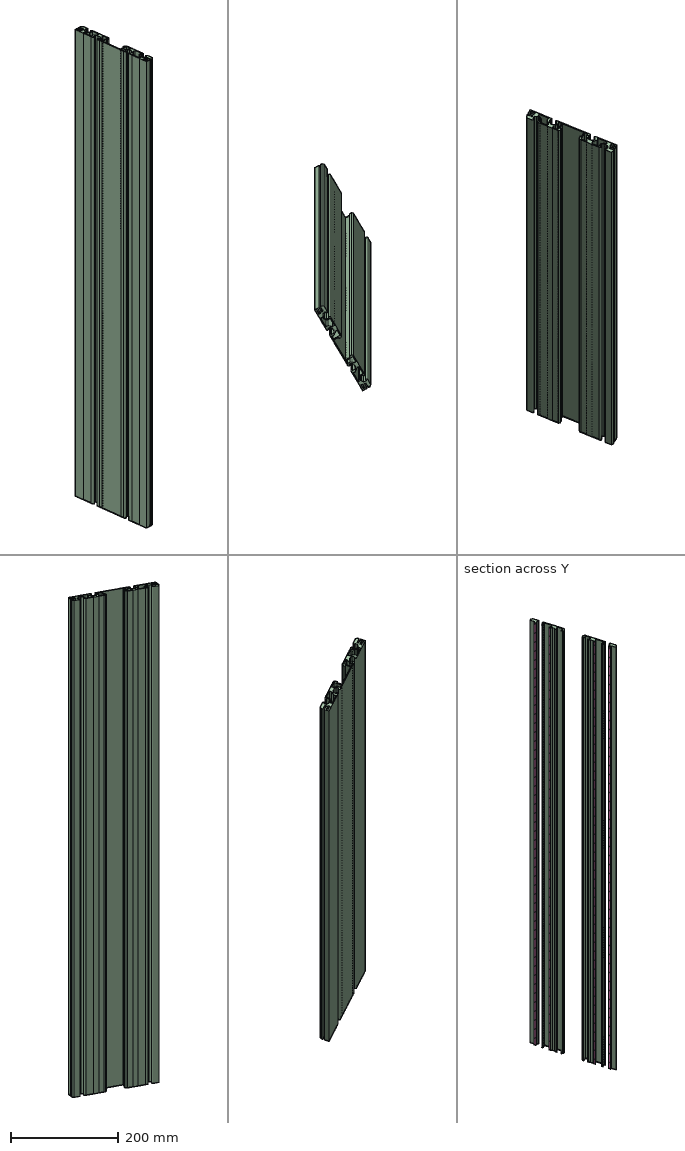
import cadquery as cq

WIDTH = 180.0
THICKNESS = 19.0
LENGTH = 1000.0

SKIN = 2.0
WEB = 2.0
SIDE_WALL = 3.0
RIM_WALL = 2.0
SLOT_WALL = 2.0

RECESS_HALF = 22.0
RIM_OVERHANG = 2.5
RIM_BOTTOM = 12.0
RIM_CHAMFER = 2.5

BEVEL_WIDTH = 2.5
BEVEL_HEIGHT = 3.5
GROOVE_Y = 11.0
GROOVE_HEIGHT = 3.0
GROOVE_DEPTH = 9.5

TOP_SLOT_X = 70.0
BOTTOM_SLOT_X = 40.0
MOUTH_HALF = 4.0
MOUTH_RADIUS = 2.0
UNDERCUT_HALF = 6.5
ROOF_HALF = 2.5
LIP = 3.5
UNDERCUT_DEPTH = 9.0
SLOT_DEPTH = 11.0

OUTER_TOP_X = 46.0
OUTER_BOTTOM_X = 51.5
OUTER_SLOPE_TOP = 13.0
OUTER_SLOPE_BOTTOM = 6.5
FOOT_OUTER_X = 70.5

INNER_TOP_X = 35.0
INNER_BOTTOM_X = 30.0
INNER_SLOPE_TOP = 14.5
INNER_SLOPE_BOTTOM = 7.0

CELL_INNER_X = 79.0
CELL_BOTTOM = 3.0
CELL_TOP = 6.5

HALF_WIDTH = WIDTH / 2
CEILING = THICKNESS - SKIN
TOP_SLOT_FLOOR = THICKNESS - SLOT_DEPTH
FOOT_TOP = TOP_SLOT_FLOOR - SLOT_WALL
CELL_OUTER_X = HALF_WIDTH - SIDE_WALL
OUTER_WALL_X = TOP_SLOT_X - UNDERCUT_HALF - SLOT_WALL


def prism(points):
    """Full-length bar with a straight-sided section."""
    return cq.Workplane("XY").polyline(points).close().extrude(LENGTH)


def half_body():
    """Solid section of the half at +X, from the middle plane to the outer side."""
    rim_x = RECESS_HALF - RIM_OVERHANG
    return prism(
        [
            (0, 0),
            (HALF_WIDTH, 0),
            (HALF_WIDTH, THICKNESS - BEVEL_HEIGHT),
            (HALF_WIDTH - BEVEL_WIDTH, THICKNESS),
            (rim_x + RIM_CHAMFER, THICKNESS),
            (rim_x, THICKNESS - RIM_CHAMFER),
            (rim_x, RIM_BOTTOM),
            (RECESS_HALF, RIM_BOTTOM),
            (RECESS_HALF, WEB),
            (0, WEB),
        ]
    )


def t_slot(center_x, face_y, inward):
    """T-slot with rounded lips; inward is the Y direction (+1 or -1) into the plate."""

    def at(offset, depth):
        return (center_x + offset, face_y + inward * depth)

    lip_arc = -inward * MOUTH_RADIUS
    return (
        cq.Workplane("XY")
        .moveTo(*at(-MOUTH_HALF - MOUTH_RADIUS, 0))
        .radiusArc(at(-MOUTH_HALF, MOUTH_RADIUS), lip_arc)
        .lineTo(*at(-MOUTH_HALF, LIP))
        .lineTo(*at(-UNDERCUT_HALF, LIP))
        .lineTo(*at(-UNDERCUT_HALF, UNDERCUT_DEPTH))
        .lineTo(*at(-ROOF_HALF, SLOT_DEPTH))
        .lineTo(*at(ROOF_HALF, SLOT_DEPTH))
        .lineTo(*at(UNDERCUT_HALF, UNDERCUT_DEPTH))
        .lineTo(*at(UNDERCUT_HALF, LIP))
        .lineTo(*at(MOUTH_HALF, LIP))
        .lineTo(*at(MOUTH_HALF, MOUTH_RADIUS))
        .radiusArc(at(MOUTH_HALF + MOUTH_RADIUS, 0), lip_arc)
        .close()
        .extrude(LENGTH)
    )


def bar(x_inner, x_outer, y_bottom, y_top):
    """Full-length bar with a rectangular section."""
    return prism([(x_inner, y_bottom), (x_outer, y_bottom), (x_outer, y_top), (x_inner, y_top)])


def side_groove():
    """Horizontal groove in the outer side."""
    bottom = GROOVE_Y - GROOVE_HEIGHT / 2
    return bar(HALF_WIDTH - GROOVE_DEPTH, HALF_WIDTH, bottom, bottom + GROOVE_HEIGHT)


def side_cell():
    """Closed cell below the side groove."""
    return bar(CELL_INNER_X, CELL_OUTER_X, CELL_BOTTOM, CELL_TOP)


def outer_hollow():
    """Slanted hollow between the T-slots and its foot under the top slot."""
    foot_corner_x = TOP_SLOT_X - ROOF_HALF
    return prism(
        [
            (OUTER_TOP_X, CEILING),
            (OUTER_TOP_X, OUTER_SLOPE_TOP),
            (OUTER_BOTTOM_X, OUTER_SLOPE_BOTTOM),
            (OUTER_BOTTOM_X, WEB),
            (FOOT_OUTER_X, WEB),
            (FOOT_OUTER_X, FOOT_TOP),
            (foot_corner_x, FOOT_TOP),
            (OUTER_WALL_X, THICKNESS - UNDERCUT_DEPTH),
            (OUTER_WALL_X, CEILING),
        ]
    )


def inner_hollow():
    """Slanted hollow between the bottom T-slot and the recess rim."""
    rim_inner_x = RECESS_HALF + RIM_WALL
    return prism(
        [
            (rim_inner_x, WEB),
            (INNER_BOTTOM_X, WEB),
            (INNER_BOTTOM_X, INNER_SLOPE_BOTTOM),
            (INNER_TOP_X, INNER_SLOPE_TOP),
            (INNER_TOP_X, CEILING),
            (rim_inner_x, CEILING),
        ]
    )


half = (
    half_body()
    .cut(t_slot(TOP_SLOT_X, THICKNESS, -1))
    .cut(t_slot(BOTTOM_SLOT_X, 0, 1))
    .cut(side_groove())
    .cut(side_cell())
    .cut(outer_hollow())
    .cut(inner_hollow())
)
result = half.union(half.mirror("YZ"))